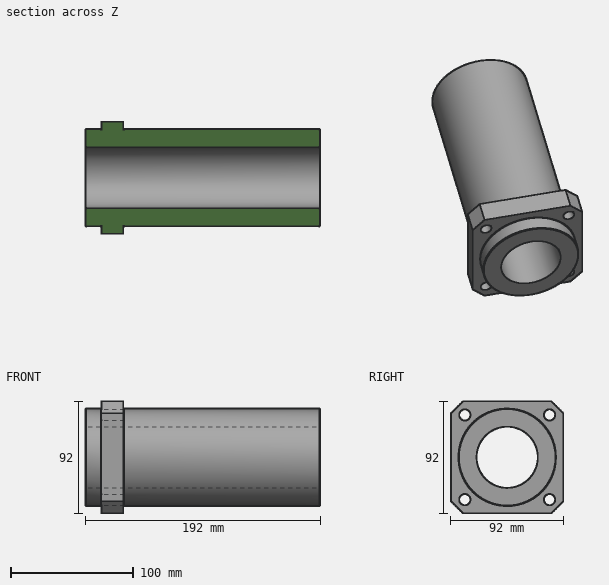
import cadquery as cq

length = 192.0
tube_diameter = 80.0
bore_diameter = 50.0
end_chamfer = 0.5

flange_start = 13.0
flange_thickness = 18.0
flange_width = 92.0
corner_chamfer = 10.0

hole_diameter = 9.0
hole_spacing = 69.3

groove_width = 0.5
groove_depth = 0.5


def disc(start, thickness, diameter):
    """Solid cylinder along X, beginning at the given X position."""
    return cq.Workplane("YZ", origin=(start, 0, 0)).circle(diameter / 2).extrude(thickness)


def make_tube():
    body = disc(0, length, tube_diameter).faces("<X or >X").edges().chamfer(end_chamfer)
    groove_diameter = tube_diameter - 2 * groove_depth
    flange_end = flange_start + flange_thickness
    for start in (flange_start - groove_width, flange_end):
        ring = disc(start, groove_width, tube_diameter).cut(disc(start, groove_width, groove_diameter))
        body = body.cut(ring)
    return body


def make_flange():
    return (
        cq.Workplane("YZ", origin=(flange_start, 0, 0))
        .rect(flange_width, flange_width)
        .extrude(flange_thickness)
        .edges("|X")
        .chamfer(corner_chamfer)
        .faces("<X")
        .workplane()
        .rect(hole_spacing, hole_spacing, forConstruction=True)
        .vertices()
        .hole(hole_diameter)
    )


result = make_tube().union(make_flange()).cut(disc(0, length, bore_diameter))